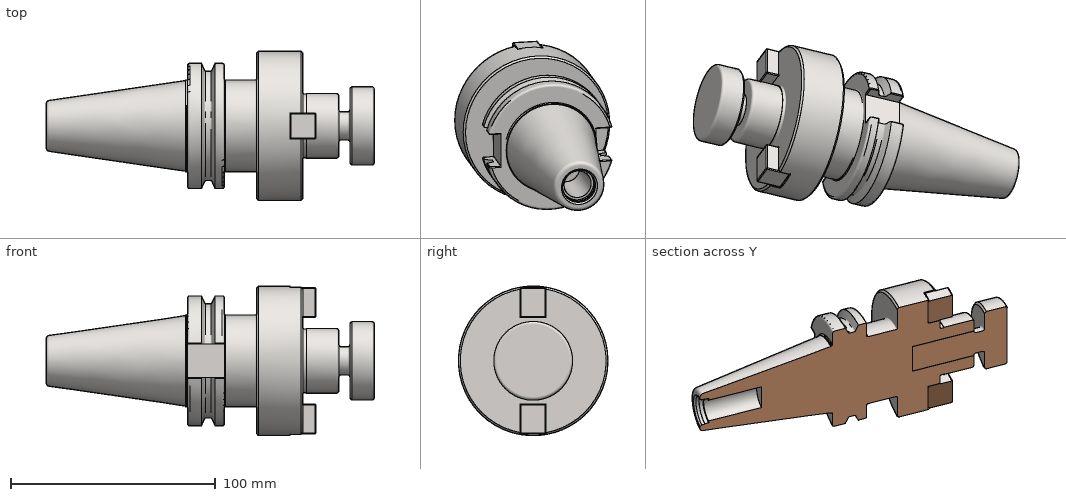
import cadquery as cq
import math

taper_end = 68.1
flange_start = 69.0
flange_end = 87.0
collar_start = 102.7
collar_end = 125.3
spigot_end = 143.0
head_start = 148.2
screw_end = 160.2

taper_large_diameter = 44.4
taper_ratio = 7 / 24
taper_small_diameter = taper_large_diameter - taper_ratio * taper_end
tip_rounding = 2.0
neck_diameter = 44.9
root_fillet = 0.5

flange_diameter = 63.6
flange_rounding = 1.1
groove_start = 75.8
groove_top_width = 6.7
groove_depth = 3.8
groove_wall_angle = 25.0
groove_floor_fillet = 0.5
drive_slot_width = 16.3
drive_slot_chamfer = 0.5
drive_slot_floor_front = 22.5
drive_slot_floor_back = 24.8

collar_diameter = 73.0
collar_chamfer = 1.0
spigot_diameter = 31.7
spigot_rounding = 1.5
relief_diameter = 31.2
relief_width = 1.8

bore_mouth_diameter = 18.0
counterbore_diameter = 16.3
counterbore_depth = 2.5
countersink_depth = 1.0
pilot_diameter = 15.9
pilot_depth = 4.5
bore_diameter = 13.5
bore_depth = 32.0

key_size = 12.7
key_chamfer = 0.5
key_start = 119.0
key_bottom = 21.2
key_top = 35.7

shank_diameter = 15.9
shank_length = 32.0
screw_neck_diameter = 14.0
head_diameter = 38.5
head_front_chamfer = 1.0
head_rear_rounding = 1.5


def cylinder(start, end, diameter):
    """Solid cylinder on the X axis between two stations."""
    return cq.Workplane("YZ", origin=(start, 0, 0)).circle(diameter / 2).extrude(end - start)


def revolved(points):
    """Solid of revolution about X from a closed outline of (station, radius) points."""
    return cq.Workplane("XY").polyline(points).close().revolve(360, (0, 0, 0), (1, 0, 0))


def tapered_shank():
    shank = revolved([
        (0, 0),
        (0, taper_small_diameter / 2),
        (taper_end, taper_large_diameter / 2),
        (taper_end, 0),
    ])
    return shank.faces("<X").edges().fillet(tip_rounding)


def gripper_groove():
    """Cutter for the V groove, with rounded corners along its floor."""
    outer_radius = flange_diameter / 2
    groove_end = groove_start + groove_top_width
    wall_run = groove_depth * math.tan(math.radians(groove_wall_angle))
    floor_radius = outer_radius - groove_depth
    groove = revolved([
        (groove_start, outer_radius),
        (groove_start + wall_run, floor_radius),
        (groove_end - wall_run, floor_radius),
        (groove_end, outer_radius),
    ])
    return groove.edges(cq.selectors.RadiusNthSelector(0)).fillet(groove_floor_fillet)


def drive_slot(side, floor):
    """Cutter for one slot across the flange; side is +1 for +Y and -1 for -Y."""
    depth = flange_diameter / 2
    length = flange_end - flange_start
    slot = cq.Workplane("XY").box(length, depth, drive_slot_width)
    return slot.translate(((flange_start + flange_end) / 2, side * (floor + depth / 2), 0))


def bevel_slot_walls(flange):
    """Bevel the free edges of the slot walls, leaving their floor and groove edges sharp."""
    groove_end = groove_start + groove_top_width
    floor_edges = flange.faces("|Y").edges().vals()
    free_edges = []
    for edge in flange.faces("|Z").edges().vals():
        on_floor = any(edge.isSame(floor_edge) for floor_edge in floor_edges)
        on_groove = groove_start < edge.Center().x < groove_end
        if not on_floor and not on_groove:
            free_edges.append(edge)
    return flange.newObject(free_edges).chamfer(drive_slot_chamfer)


def gripper_flange():
    flange = cylinder(flange_start, flange_end, flange_diameter)
    flange = flange.edges().fillet(flange_rounding)
    flange = flange.cut(gripper_groove())
    for side, floor in ((-1, drive_slot_floor_front), (1, drive_slot_floor_back)):
        flange = flange.cut(drive_slot(side, floor))
    return bevel_slot_walls(flange)


def root_ring(station, diameter, direction):
    """Concave ring that rounds the corner between a cylinder and a face at a station.

    direction is the sense along X in which the cylinder leaves the face.
    """
    radius = diameter / 2
    tip = station + direction * root_fillet
    profile = (
        cq.Workplane("XY")
        .moveTo(station, radius)
        .lineTo(tip, radius)
        .radiusArc((station, radius + root_fillet), direction * root_fillet)
        .close()
    )
    return profile.revolve(360, (0, 0, 0), (1, 0, 0))


def collar_and_spigot():
    collar = cylinder(collar_start, collar_end, collar_diameter)
    collar = collar.edges().chamfer(collar_chamfer)
    relief_end = collar_end + relief_width
    relief = cylinder(collar_end, relief_end, relief_diameter)
    spigot = cylinder(relief_end, spigot_end, spigot_diameter)
    spigot = spigot.faces(">X").edges().fillet(spigot_rounding)
    return collar.union(relief).union(spigot)


def pull_stud_bore():
    mouth_radius = bore_mouth_diameter / 2
    counterbore_radius = counterbore_diameter / 2
    pilot_radius = pilot_diameter / 2
    bore_radius = bore_diameter / 2
    return revolved([
        (0, 0),
        (0, mouth_radius),
        (countersink_depth, counterbore_radius),
        (counterbore_depth, counterbore_radius),
        (counterbore_depth, pilot_radius),
        (pilot_depth, pilot_radius),
        (pilot_depth, bore_radius),
        (bore_depth, bore_radius),
        (bore_depth, 0),
    ])


def drive_key(side):
    """Square key standing out of the collar face; side is +1 for +Z and -1 for -Z."""
    height = key_top - key_bottom
    key = cq.Workplane("XY").box(key_size, key_size, height)
    key = key.edges().chamfer(key_chamfer)
    return key.translate((key_start + key_size / 2, 0, side * (key_bottom + height / 2)))


def key_pocket(side):
    """Cutter for a key's seat, open through the rim of the collar and its end face."""
    height = collar_diameter / 2
    pocket = cq.Workplane("XY").box(key_size, key_size, height)
    return pocket.translate((key_start + key_size / 2, 0, side * (key_bottom + height / 2)))


def clamping_screw():
    """Screw whose narrow neck blends into the shank and the head with concave roundings."""
    shank_radius = shank_diameter / 2
    neck_radius = screw_neck_diameter / 2
    blend = shank_radius - neck_radius
    stem = (
        cq.Workplane("XY")
        .moveTo(spigot_end - shank_length, 0)
        .lineTo(spigot_end - shank_length, shank_radius)
        .lineTo(spigot_end, shank_radius)
        .radiusArc((spigot_end + blend, neck_radius), -blend)
        .lineTo(head_start - blend, neck_radius)
        .radiusArc((head_start, shank_radius), -blend)
        .lineTo(head_start, 0)
        .close()
        .revolve(360, (0, 0, 0), (1, 0, 0))
    )
    head = cylinder(head_start, screw_end, head_diameter)
    head = head.faces("<X").edges().chamfer(head_front_chamfer)
    head = head.faces(">X").edges().fillet(head_rear_rounding)
    return stem.union(head)


def tool_holder():
    holder = tapered_shank()
    holder = holder.union(cylinder(taper_end, collar_start, neck_diameter))
    holder = holder.union(gripper_flange())
    holder = holder.union(collar_and_spigot())
    holder = holder.union(root_ring(flange_start, neck_diameter, -1))
    holder = holder.union(root_ring(flange_end, neck_diameter, 1))
    holder = holder.union(root_ring(collar_start, neck_diameter, -1))
    holder = holder.union(root_ring(collar_end, relief_diameter, 1))
    holder = holder.cut(pull_stud_bore())
    for side in (1, -1):
        holder = holder.cut(key_pocket(side))
    return holder.cut(cylinder(spigot_end - shank_length, spigot_end, shank_diameter))


holder = tool_holder()
keys = [drive_key(side) for side in (1, -1)]
screw = clamping_screw()

result = cq.Compound.makeCompound([holder.val(), *[key.val() for key in keys], screw.val()])